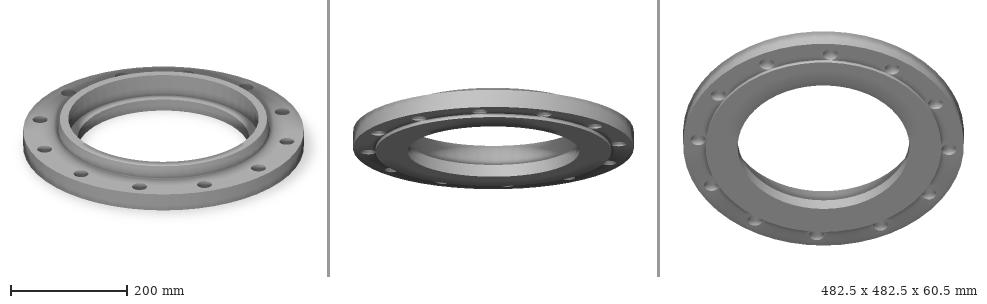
import cadquery as cq

total_height = 60.5
raised_face_height = 6.5
flange_thickness = 31.0
flange_top = raised_face_height + flange_thickness
shoulder_height = 21.0

flange_diameter = 482.5
raised_face_diameter = 405.5
hub_base_diameter = 364.7
hub_top_diameter = 356.5
socket_diameter = 327.0
bore_diameter = 295.5

hub_root_fillet = 1.5
hub_rim_fillet = 1.5

bolt_count = 12
bolt_circle_diameter = 432.0
bolt_hole_diameter = 25.5


def flange_ring():
    """Revolve the half section of the flange, hub, socket and bore about Z."""
    section = (
        cq.Workplane("XZ")
        .moveTo(bore_diameter / 2, 0)
        .lineTo(raised_face_diameter / 2, 0)
        .lineTo(raised_face_diameter / 2, raised_face_height)
        .lineTo(flange_diameter / 2, raised_face_height)
        .lineTo(flange_diameter / 2, flange_top)
        .lineTo(hub_base_diameter / 2, flange_top)
        .lineTo(hub_top_diameter / 2, total_height)
        .lineTo(socket_diameter / 2, total_height)
        .lineTo(socket_diameter / 2, shoulder_height)
        .lineTo(bore_diameter / 2, shoulder_height)
        .close()
    )
    return section.revolve(360, (0, 0, 0), (0, 1, 0))


def rounded_hub(body):
    """Round the outer rim of the hub and blend its root into the flange."""
    rim = body.faces(">Z").edges(cq.selectors.RadiusNthSelector(-1))
    body = rim.fillet(hub_rim_fillet)
    flange_face = cq.selectors.NearestToPointSelector((bolt_circle_diameter / 2, 0, flange_top))
    root = body.faces(flange_face).edges(cq.selectors.RadiusNthSelector(0))
    return root.fillet(hub_root_fillet)


def bolt_holes(body):
    """Cut the bolt holes, one of them on the +X axis."""
    return (
        body.faces("<Z").workplane(origin=(0, 0, 0))
        .polarArray(bolt_circle_diameter / 2, 0, 360, bolt_count)
        .hole(bolt_hole_diameter)
    )


result = bolt_holes(rounded_hub(flange_ring()))